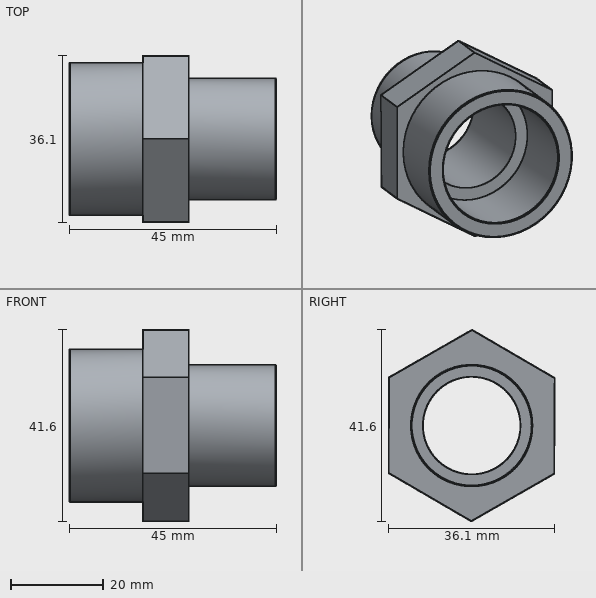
import cadquery as cq

total_length = 45.0
socket_body_length = 16.0
hexagon_width = 10.0
hexagon_end = socket_body_length + hexagon_width
spigot_length = total_length - hexagon_end

socket_body_diameter = 33.25
spigot_diameter = 26.45
socket_diameter = 26.6
bore_diameter = 21.15
hexagon_corner_diameter = 41.6
hexagon_tilt = 0.23

socket_depth = spigot_length
edge_chamfer = 0.22


def cylinder(start, length, diameter):
    """Cylinder along +X, starting at the given X."""
    return cq.Workplane("YZ", origin=(start, 0, 0)).circle(diameter / 2).extrude(length)


socket_body = cylinder(0, hexagon_end, socket_body_diameter).faces("<X").chamfer(edge_chamfer)
spigot = cylinder(hexagon_end, spigot_length, spigot_diameter).faces(">X").chamfer(edge_chamfer)

hexagon = (
    cq.Workplane("YZ", origin=(socket_body_length, 0, 0))
    .polygon(6, hexagon_corner_diameter)
    .extrude(hexagon_width)
    .rotate((0, 0, 0), (1, 0, 0), 90 - hexagon_tilt)
)

socket = cylinder(0, socket_depth, socket_diameter)
socket_mouth = (
    cq.Workplane("YZ")
    .circle(socket_diameter / 2 + edge_chamfer)
    .workplane(offset=edge_chamfer)
    .circle(socket_diameter / 2)
    .loft()
)
bore = cylinder(0, total_length, bore_diameter)

result = socket_body.union(hexagon).union(spigot).cut(socket).cut(socket_mouth).cut(bore)